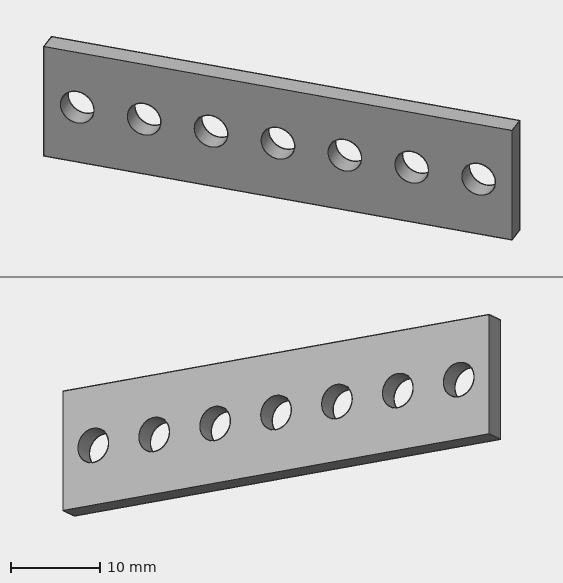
import cadquery as cq

thickness = 2.5
height = 14.0

hole_count = 7
hole_pitch = 8.0
hole_diameter = 4.0
end_margin = hole_pitch / 2

length = (hole_count - 1) * hole_pitch + 2 * end_margin


def make_plate():
    """Flat rectangular bar centred on the origin, thin along Y."""
    return cq.Workplane("XY").box(length, thickness, height)


def drill_hole_row(plate):
    """Drill the row of holes through the thickness, along the mid-height line."""
    return (
        plate.faces("<Y")
        .workplane(centerOption="CenterOfBoundBox")
        .rarray(hole_pitch, hole_pitch, hole_count, 1)
        .hole(hole_diameter)
    )


result = drill_hole_row(make_plate())